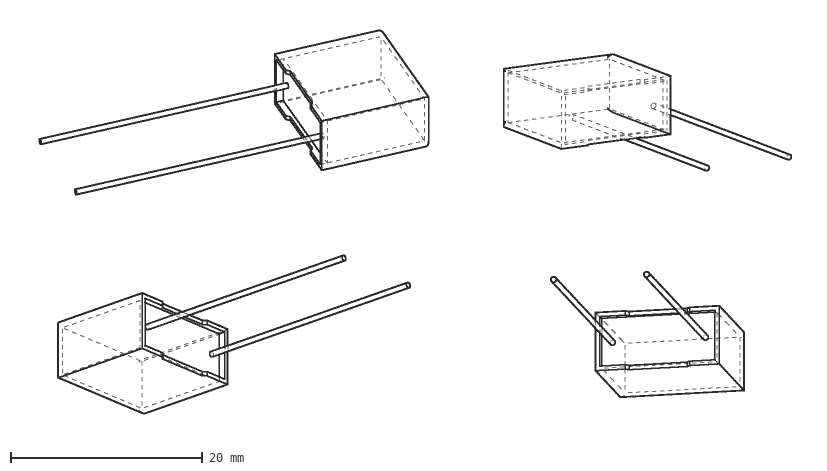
import cadquery as cq

total_length = 39.3
case_width = 13.3
case_height = 6.3
case_length = 12.22

wall = 0.47
back_fillet = 0.5
notch_floor_width = 6.2
notch_depth = 0.35
notch_mouth_width = notch_floor_width + 2 * notch_depth

potting_recess = 0.8
lead_pitch = 10.0
lead_diameter = 0.6

back_y = total_length / 2
rim_y = back_y - case_length
lead_tip_y = -total_length / 2
cavity_end_y = back_y - wall
potting_face_y = rim_y + potting_recess


def block(width, height, start_y, end_y):
    """Box centred on the Y axis, spanning start_y to end_y."""
    length = end_y - start_y
    return cq.Workplane("XY").box(width, length, height).translate((0, start_y + length / 2, 0))


def cavity_block(start_y, end_y):
    """Block with the cross-section of the case cavity."""
    return block(case_width - 2 * wall, case_height - 2 * wall, start_y, end_y)


def make_rim_notch():
    """Trapezoidal cutter through both broad walls at the open rim."""
    return (
        cq.Workplane("XY")
        .polyline([
            (-notch_mouth_width / 2, rim_y),
            (notch_mouth_width / 2, rim_y),
            (notch_floor_width / 2, rim_y + notch_depth),
            (-notch_floor_width / 2, rim_y + notch_depth),
        ])
        .close()
        .extrude(case_height / 2, both=True)
    )


def make_case():
    """Open box with a rounded closed end and a notch in each broad wall."""
    outer = block(case_width, case_height, rim_y, back_y).faces(">Y").edges().fillet(back_fillet)
    return outer.cut(cavity_block(rim_y, cavity_end_y)).cut(make_rim_notch())


def make_potting():
    """Filling of the case cavity, recessed behind the rim."""
    return cavity_block(potting_face_y, cavity_end_y)


def make_lead(x):
    """Straight round wire from the potting face to the lead tip."""
    return (
        cq.Workplane("XZ", origin=(x, potting_face_y, 0))
        .circle(lead_diameter / 2)
        .extrude(potting_face_y - lead_tip_y)
    )


case = make_case()
potting = make_potting()
leads = [make_lead(side * lead_pitch / 2) for side in (-1, 1)]

result = cq.Compound.makeCompound([case.val(), potting.val(), *[lead.val() for lead in leads]])